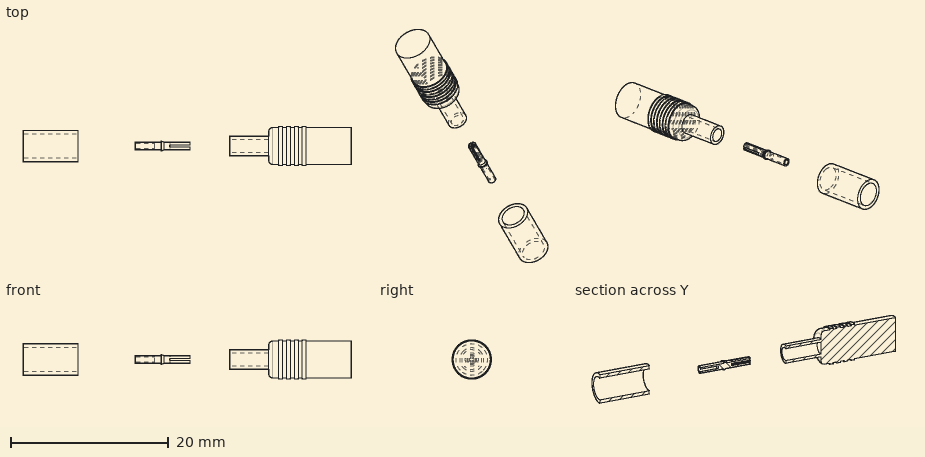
import cadquery as cq


sleeve_length = 7.0
sleeve_diameter = 4.0
sleeve_bore = 3.0

pin_start = 14.2
pin_length = 7.0
pin_diameter = 1.0
pin_bore = 0.62
pin_bore_depth = 2.5
collar_offset = 3.3
collar_length = 0.37
collar_flat = 0.1
collar_diameter = 1.25
slot_length = 2.6
slot_width = 0.2

total_length = 41.65
housing_start = 26.2
tube_length = 4.95
tube_diameter = 2.5
tube_bore = 1.65
barrel_diameter = 4.7
barrel_fillet = 0.5
rib_count = 4
rib_diameter = 5.0
rib_width = 0.5
rib_pitch = 2 * rib_width
first_rib_offset = 1.25

barrel_start = housing_start + tube_length
barrel_length = total_length - barrel_start


def cylinder(start, length, diameter):
    """Solid cylinder along +X, beginning at X = start."""
    return cq.Workplane("YZ", origin=(start, 0, 0)).circle(diameter / 2).extrude(length)


def make_sleeve():
    """Plain tube, open at both ends."""
    outside = cylinder(0, sleeve_length, sleeve_diameter)
    return outside.cut(cylinder(0, sleeve_length, sleeve_bore))


def make_pin():
    """Contact with a wire bore, a collar tapering toward the tip, and a cross-slotted tip."""
    shaft = cylinder(pin_start, pin_length, pin_diameter)
    collar = cylinder(pin_start + collar_offset, collar_length, collar_diameter)
    taper_length = collar_length - collar_flat
    taper_height = (collar_diameter - pin_diameter) / 2
    collar = collar.faces(">X").edges().chamfer(taper_length, taper_height)
    pin = shaft.union(collar)
    pin = pin.cut(cylinder(pin_start, pin_bore_depth, pin_bore))
    slot_center = pin_start + pin_length - slot_length / 2
    for slot_y, slot_z in ((pin_diameter, slot_width), (slot_width, pin_diameter)):
        slot = cq.Workplane("XY", origin=(slot_center, 0, 0)).box(slot_length, slot_y, slot_z)
        pin = pin.cut(slot)
    return pin


def make_housing():
    """Ribbed barrel with a narrow cable tube bored down to the shoulder."""
    barrel = cylinder(barrel_start, barrel_length, barrel_diameter)
    barrel = barrel.faces("<X").edges().fillet(barrel_fillet)
    housing = barrel.union(cylinder(housing_start, tube_length, tube_diameter))
    for index in range(rib_count):
        rib_start = barrel_start + first_rib_offset + index * rib_pitch
        housing = housing.union(cylinder(rib_start, rib_width, rib_diameter))
    return housing.cut(cylinder(housing_start, tube_length, tube_bore))


sleeve = make_sleeve()
pin = make_pin()
housing = make_housing()

result = cq.Compound.makeCompound([sleeve.val(), pin.val(), housing.val()])